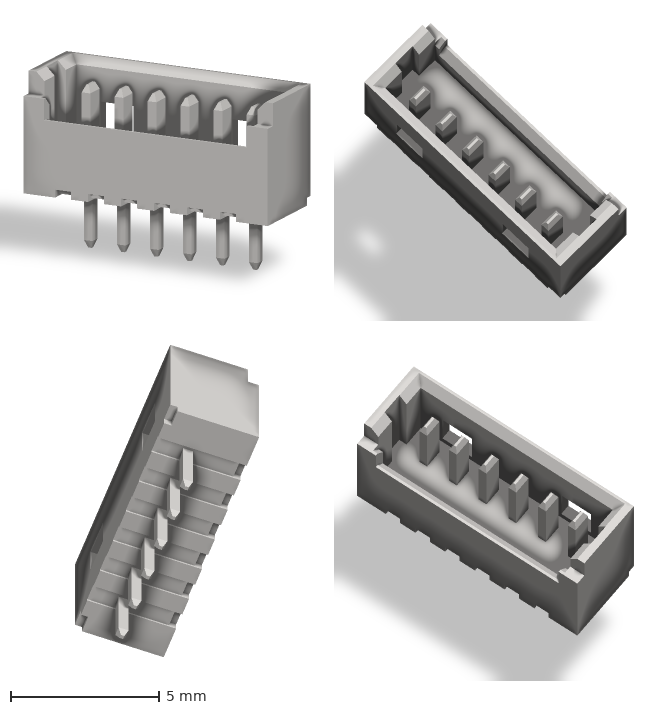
import cadquery as cq


length = 9.25
depth = 3.2
height = 4.2
wall = 0.4
end_wall = 0.59
floor_thickness = 1.28
mouth_chamfer = 0.3

shelf_drop = 0.8
front_wall_height = 2.655
front_gap_margin = 0.79
key_rim = 0.29
key_width = 0.83
key_from_back = 1.2
window_bottom = 1.51
window_top = 2.71

channel_width = 0.6
channel_height = 0.08
notch_height = 0.28
notch_depth = 0.26

pin_count = 6
pitch = 1.25
pin_width = 0.32
pin_from_back = 1.14
blade_depth = 0.7
blade_top = 3.54
blade_tip_height = 0.26
blade_tip_width = 0.09
blade_tip_depth = 0.47
tail_depth = 0.36
tail_length = 2.2
tail_tip_height = 0.28
tail_tip_size = 0.13

front_y = -depth / 2
back_y = depth / 2
pin_y = back_y - pin_from_back
pin_xs = [(i - (pin_count - 1) / 2) * pitch for i in range(pin_count)]


def block(x_range, y_range, z_range):
    """Box given by its lower and upper limits on each axis."""
    (x0, x1), (y0, y1), (z0, z1) = x_range, y_range, z_range
    return cq.Workplane("XY").box(x1 - x0, y1 - y0, z1 - z0, centered=False).translate((x0, y0, z0))


def taper(y, z_base, z_tip, base_size, tip_size):
    """Four-sided tapered pin end, from a base rectangle to a smaller tip rectangle."""
    return (
        cq.Workplane("XY", origin=(0, y, z_base))
        .rect(*base_size)
        .workplane(offset=z_tip - z_base)
        .rect(*tip_size)
        .loft(combine=True)
    )


def make_cavity():
    """Main cavity with a sloped lead-in at the mouth of the back and end walls."""
    inner_x = length / 2 - end_wall
    inner_back = back_y - wall
    inner_front = front_y + wall
    cavity = block((-inner_x, inner_x), (inner_front, inner_back), (floor_thickness, height))

    lead_in_front = front_y - wall
    lead_in = (
        cq.Workplane("XY", origin=(0, (lead_in_front + inner_back + mouth_chamfer) / 2, height))
        .rect(2 * (inner_x + mouth_chamfer), inner_back + mouth_chamfer - lead_in_front)
        .extrude(-mouth_chamfer, taper=45)
    )
    return cavity.union(lead_in)


def front_lead_in(half_span, top_z):
    """Sloped cut along the inner top edge of the front wall, where that edge lies at top_z."""
    inner_front = front_y + wall
    return (
        cq.Workplane("YZ", origin=(-half_span, 0, 0))
        .moveTo(inner_front, top_z - mouth_chamfer)
        .lineTo(inner_front - mouth_chamfer, top_z)
        .lineTo(inner_front, top_z)
        .close()
        .extrude(2 * half_span)
    )


def make_front_opening():
    """Lowered shelves and low front wall, each with a lead-in on its inner edge."""
    inner_x = length / 2 - end_wall
    gap_x = length / 2 - front_gap_margin
    inner_front = front_y + wall
    shelf_z = height - shelf_drop
    shelves = block((-length / 2, length / 2), (front_y, inner_front), (shelf_z, height))
    gap = block((-gap_x, gap_x), (front_y, inner_front), (front_wall_height, height))
    shelf_lead_in = front_lead_in(inner_x, shelf_z)
    gap_lead_in = front_lead_in(gap_x, front_wall_height)
    return shelves.union(gap).union(shelf_lead_in).union(gap_lead_in)


def make_housing():
    housing = block((-length / 2, length / 2), (front_y, back_y), (0, height))
    housing = housing.cut(make_cavity()).cut(make_front_opening())

    key_x = length / 2 - key_rim
    key_back = back_y - key_from_back
    housing = housing.cut(block((-key_x, key_x), (key_back - key_width, key_back), (floor_thickness, height)))

    for left, right in ((pin_xs[0], pin_xs[1]), (pin_xs[-2], pin_xs[-1])):
        housing = housing.cut(block((left, right), (back_y - wall, back_y), (window_bottom, window_top)))

    for x in pin_xs:
        span = (x - channel_width / 2, x + channel_width / 2)
        housing = housing.cut(block(span, (front_y, back_y), (0, channel_height)))
        housing = housing.cut(block(span, (front_y, front_y + notch_depth), (0, notch_height)))

    for left in (-length / 2, length / 2 - channel_width):
        span = (left, left + channel_width)
        housing = housing.cut(block(span, (back_y - notch_depth, back_y), (0, notch_height)))
    return housing


def make_pin():
    """One pin at X = 0: a wide blade in the cavity and a narrower tail below."""
    half_width = pin_width / 2
    joint_z = floor_thickness / 2
    blade_shoulder = blade_top - blade_tip_height
    tail_shoulder = tail_tip_height - tail_length
    blade_y = (pin_y - blade_depth / 2, pin_y + blade_depth / 2)
    tail_y = (pin_y - tail_depth / 2, pin_y + tail_depth / 2)
    blade = block((-half_width, half_width), blade_y, (joint_z, blade_shoulder))
    tail = block((-half_width, half_width), tail_y, (tail_shoulder, joint_z))
    blade_tip = taper(
        pin_y, blade_shoulder, blade_top, (pin_width, blade_depth), (blade_tip_width, blade_tip_depth)
    )
    tail_tip = taper(
        pin_y, tail_shoulder, -tail_length, (pin_width, tail_depth), (tail_tip_size, tail_tip_size)
    )
    return blade.union(tail).union(blade_tip).union(tail_tip)


result = make_housing()
pin = make_pin()
for pin_x in pin_xs:
    result = result.union(pin.translate((pin_x, 0, 0)))